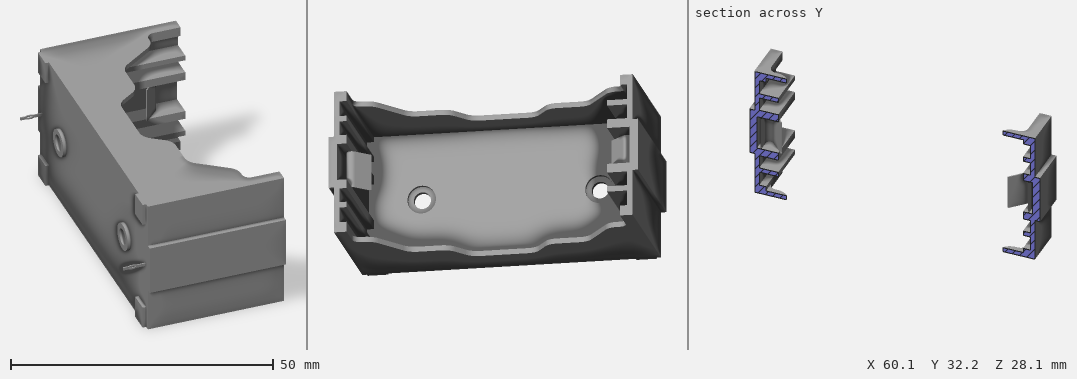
import cadquery as cq
import math


overall_length = 60.1
body_length = 58.0
body_height = 27.75
body_width = 28.05
side_wall = 1.0
floor_thickness = 1.0
cavity_length = 55.85
cavity_width = body_width - 2 * side_wall
end_pad_width = 10.15

slope_angle = math.radians(55)
low_level = 7.5
low_half_length = 6.2
middle_level = 12.5
middle_outer_x = 17.3
high_level = 20.65
notch_half_length = 26.55
slope_radius = 3.0
notch_radius = 1.5

corner_rib_width = 0.95
middle_rib_z = 8.6
middle_rib_width = 1.1
inner_rib_width = 1.75
polarity_rib_x = 24.0

standoff_height = 0.7
foot_length = 4.0
foot_width = 4.55
foot_outer_x = 28.1
hole_spacing = 34.55
hole_diameter = 3.3
collar_diameter = 5.5
seat_level = floor_thickness - standoff_height

sheet = 0.25
contact_x = 27.65
contact_width = 7.15
slot_floor_x = 28.4
contact_top = body_height - 5.05
bend_radius = 1.0
bend_sweep = 135.0
spring_length = 3.85
tail_width = 0.6
tail_length = 4.5
kink_start = 1.8
kink_length = 1.6
kink_ramp = 0.5
kink_offset = 0.2

corner_rib_z = (cavity_width - corner_rib_width) / 2
inner_rib_z = (contact_width + inner_rib_width) / 2


def block(x_range, y_range, z_range):
    """Axis-aligned box between two limits on each axis."""
    size = [high - low for low, high in (x_range, y_range, z_range)]
    corner = (x_range[0], y_range[0], z_range[0])
    return cq.Workplane("XY").box(*size, centered=False).translate(corner)


def centred(width, middle=0.0):
    """Lower and upper limit of a width about its middle."""
    return (middle - width / 2, middle + width / 2)


def shell():
    """Open tray with a thicker pad down the middle of each end wall."""
    tray = block(centred(body_length), (0, body_height), centred(body_width))
    pads = block(centred(overall_length), (0, body_height), centred(end_pad_width))
    cavity = block(centred(cavity_length), (floor_thickness, body_height), centred(cavity_width))
    return tray.union(pads).cut(cavity)


def wall_recess():
    """Stepped, rounded opening through both side walls."""
    low_rise = (middle_level - low_level) / math.tan(slope_angle)
    high_rise = (high_level - middle_level) / math.tan(slope_angle)
    right_side = [
        (low_half_length, low_level),
        (low_half_length + low_rise, middle_level),
        (middle_outer_x, middle_level),
        (middle_outer_x + high_rise, high_level),
        (notch_half_length, high_level),
        (notch_half_length, body_height),
    ]
    left_side = [(-x, y) for x, y in reversed(right_side)]
    opening = (
        cq.Workplane("XY")
        .workplane(offset=-body_width / 2)
        .polyline(left_side + right_side)
        .close()
        .extrude(body_width)
    )
    inside_notch = cq.selectors.BoxSelector(
        (-polarity_rib_x, 0, -body_width),
        (polarity_rib_x, body_height, body_width),
    )
    below_top = cq.selectors.BoxSelector(
        (-body_length, 0, -body_width),
        (body_length, high_level + notch_radius, body_width),
    )
    notch_corners = cq.selectors.SubtractSelector(below_top, inside_notch)
    opening = opening.edges("|Z").edges(inside_notch).fillet(slope_radius)
    return opening.edges("|Z").edges(notch_corners).fillet(notch_radius)


def rib_pair(x_range, z, width):
    """Two upright ribs at +Z and -Z of the middle."""
    ribs = cq.Workplane("XY")
    for side in (-1, 1):
        ribs = ribs.union(block(x_range, (0, body_height), centred(width, side * z)))
    return ribs


def end_ribs():
    """Ribs on both end walls, those at the -X end reaching further in than the side walls."""
    cavity_end = cavity_length / 2
    right_range = (notch_half_length, cavity_end)
    left_range = (-cavity_end, -notch_half_length)
    polarity_range = (-cavity_end, -polarity_rib_x)
    ribs = rib_pair(right_range, corner_rib_z, corner_rib_width)
    ribs = ribs.union(rib_pair(left_range, corner_rib_z, corner_rib_width))
    for z, width in ((middle_rib_z, middle_rib_width), (inner_rib_z, inner_rib_width)):
        ribs = ribs.union(rib_pair(right_range, z, width))
        ribs = ribs.union(rib_pair(polarity_range, z, width))
    return ribs


def feet():
    """Flat standoff pad at each corner of the underside."""
    pads = cq.Workplane("XY")
    x_middle = foot_outer_x - foot_length / 2
    z_middle = (body_width - foot_width) / 2
    for x_side in (-1, 1):
        for z_side in (-1, 1):
            pads = pads.union(
                block(
                    centred(foot_length, x_side * x_middle),
                    (-standoff_height, 0),
                    centred(foot_width, z_side * z_middle),
                )
            )
    return pads


def upright_cylinders(diameter, bottom, top):
    """Pair of cylinders along Y on the mounting hole centres."""
    return (
        cq.Workplane("XZ", origin=(0, top, 0))
        .pushPoints([(-hole_spacing / 2, 0), (hole_spacing / 2, 0)])
        .circle(diameter / 2)
        .extrude(top - bottom)
    )


def contact_slots():
    """Recess for a contact down the middle of each end wall."""
    slot_length = 2 * slot_floor_x
    slots = block(centred(slot_length), (floor_thickness, body_height), centred(contact_width))
    return slots.cut(block(centred(cavity_length), (0, body_height), centred(body_width)))


def tail_openings():
    """Slits in the floor that the contact tails pass through."""
    slits = cq.Workplane("XY")
    for side in (-1, 1):
        slits = slits.union(
            block(centred(sheet, side * contact_x), (0, floor_thickness), centred(tail_width))
        )
    return slits


def make_housing():
    """Battery tray with end ribs, feet, and mounting holes through sunken screw seats."""
    collars = upright_cylinders(collar_diameter, -standoff_height, 0)
    holes = upright_cylinders(hole_diameter, -standoff_height, floor_thickness)
    seats = upright_cylinders(collar_diameter, seat_level, floor_thickness)
    housing = shell().cut(wall_recess()).union(end_ribs())
    housing = housing.union(feet()).union(collars)
    return housing.cut(holes).cut(seats).cut(contact_slots()).cut(tail_openings())


def contact_blade():
    """Upright plate bent over at the top into a spring that slopes back down and inwards."""
    outer_x = contact_x + sheet / 2
    bend_x = outer_x - bend_radius
    bend_y = contact_top - bend_radius
    inner_radius = bend_radius - sheet
    spring_angle = math.radians(bend_sweep + 90)
    along_x = math.cos(spring_angle)
    along_y = math.sin(spring_angle)

    def on_bend(radius, degrees):
        angle = math.radians(degrees)
        return (bend_x + radius * math.cos(angle), bend_y + radius * math.sin(angle))

    spring_start = on_bend(bend_radius, bend_sweep)
    spring_end = (spring_start[0] + spring_length * along_x, spring_start[1] + spring_length * along_y)
    spring_end_inner = (spring_end[0] - sheet * along_y, spring_end[1] + sheet * along_x)
    return (
        cq.Workplane("XY")
        .workplane(offset=-contact_width / 2)
        .moveTo(outer_x, floor_thickness)
        .lineTo(outer_x, bend_y)
        .threePointArc(on_bend(bend_radius, bend_sweep / 2), spring_start)
        .lineTo(*spring_end)
        .lineTo(*spring_end_inner)
        .lineTo(*on_bend(inner_radius, bend_sweep))
        .threePointArc(on_bend(inner_radius, bend_sweep / 2), on_bend(inner_radius, 0))
        .lineTo(outer_x - sheet, floor_thickness)
        .close()
        .extrude(contact_width)
    )


def half_tail(z_start, offset):
    """Half of the split tail, with a kink that swings it sideways by offset."""
    kink_end = kink_start + kink_length
    centre_line = [
        (0, -floor_thickness),
        (0, kink_start),
        (offset, kink_start + kink_ramp),
        (offset, kink_end - kink_ramp),
        (0, kink_end),
        (0, tail_length),
    ]
    inner_face = [(contact_x - sheet / 2 + x, -depth) for x, depth in centre_line]
    outer_face = [(x + sheet, y) for x, y in reversed(inner_face)]
    return (
        cq.Workplane("XY")
        .workplane(offset=z_start)
        .polyline(inner_face + outer_face)
        .close()
        .extrude(tail_width / 2)
    )


def make_contact():
    """Contact for the +X end, with its two tail halves kinked opposite ways."""
    upper_half = half_tail(0, -kink_offset)
    lower_half = half_tail(-tail_width / 2, kink_offset)
    return contact_blade().union(upper_half).union(lower_half)


housing = make_housing()
contacts = [make_contact().rotate((0, 0, 0), (0, 1, 0), angle) for angle in (0, 180)]
result = cq.Compound.makeCompound([housing.val(), *[contact.val() for contact in contacts]])